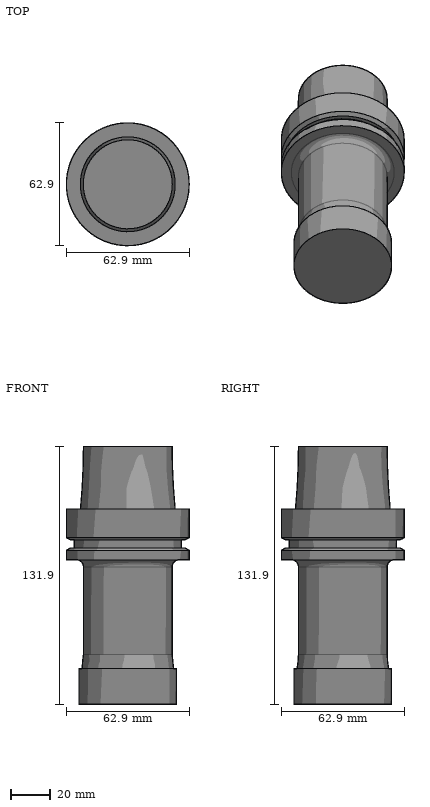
import cadquery as cq

total_height = 131.9
nut_height = 18.2
cone_top = 25.5
flange_bottom = 73.9
flange_top = 99.8
groove_bottom = 79.9
groove_top = 84.0

nut_diameter = 50.0
neck_diameter = 45.5
cone_base_diameter = 47.0
flange_diameter = 62.9
groove_diameter = 55.0
shank_base_diameter = 48.5

neck_fillet = 3.5
bevel_height = 1.2
bevel_width = 2.1

nut_radius = nut_diameter / 2
neck_radius = neck_diameter / 2
cone_base_radius = cone_base_diameter / 2
flange_radius = flange_diameter / 2
groove_radius = groove_diameter / 2
shank_base_radius = shank_base_diameter / 2
shank_top_radius = neck_radius
bevel_radius = flange_radius - bevel_width

shank_height = total_height - flange_top
shank_flare = shank_base_radius - shank_top_radius
shank_arc_radius = (shank_height**2 + shank_flare**2) / (2 * shank_flare)


def make_nut():
    """Plain cylindrical clamping nut at the bottom."""
    return cq.Workplane("XY").circle(nut_radius).extrude(nut_height)


def make_holder():
    """Turned tool holder: cone, neck, grooved flange and flared shank."""
    profile = (
        cq.Workplane("XZ")
        .moveTo(0, nut_height)
        .lineTo(cone_base_radius, nut_height)
        .lineTo(neck_radius, cone_top)
        .lineTo(neck_radius, flange_bottom - neck_fillet)
        .tangentArcPoint((neck_radius + neck_fillet, flange_bottom), relative=False)
        .lineTo(flange_radius, flange_bottom)
        .lineTo(flange_radius, groove_bottom - bevel_height)
        .lineTo(bevel_radius, groove_bottom)
        .lineTo(groove_radius, groove_bottom)
        .lineTo(groove_radius, groove_top)
        .lineTo(bevel_radius, groove_top)
        .lineTo(flange_radius, groove_top + bevel_height)
        .lineTo(flange_radius, flange_top)
        .lineTo(shank_base_radius, flange_top)
        .radiusArc((shank_top_radius, total_height), shank_arc_radius)
        .lineTo(0, total_height)
        .close()
    )
    return profile.revolve(360, (0, 0), (0, 1))


nut = make_nut()
holder = make_holder()
result = cq.Compound.makeCompound([nut.val(), holder.val()])